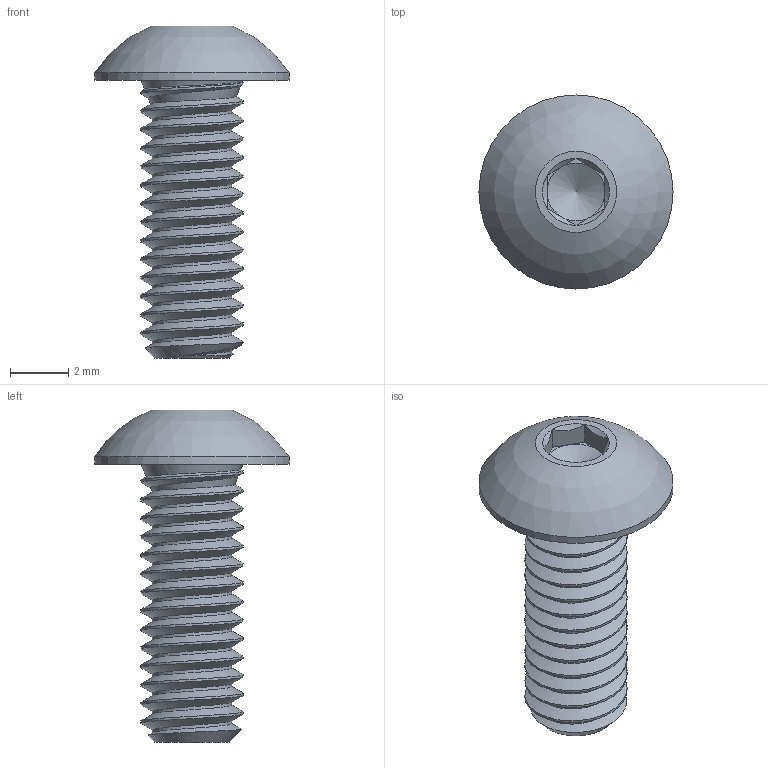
import cadquery as cq
import math

INCH = 25.4

head_diameter = 0.262 * INCH
head_height = 0.073 * INCH
rim_height = 0.25
crown_diameter = 2.78

hex_across_flats = 5 / 64 * INCH
hex_depth = 0.75
drill_point_angle = 120

shank_length = 0.375 * INCH
tip_diameter = 2.59
tip_chamfer_height = 0.52

major_diameter = 0.138 * INCH
pitch = INCH / 40
neck_length = 1.5 * pitch
sharp_v_height = pitch * math.sqrt(3) / 2
thread_depth = 17 / 24 * sharp_v_height
crest_width = pitch / 8
crest_above_tip = 0.523
flank_half_angle = math.radians(30)
thread_overrun = 2 * pitch

head_radius = head_diameter / 2
crown_radius = crown_diameter / 2
major_radius = major_diameter / 2
root_radius = major_radius - thread_depth
ridge_start_z = -shank_length + crest_above_tip - thread_overrun
hex_corner_radius = hex_across_flats / 2 / math.cos(math.pi / 6)


def make_head():
    """Spherical dome, centred on the axis, on a short cylindrical rim."""
    dome_height = head_height - rim_height
    center_drop = (head_radius**2 + dome_height**2 - crown_radius**2) / (2 * dome_height)
    center_z = head_height - center_drop
    sphere_radius = math.hypot(crown_radius, center_drop)
    mid_radius = (crown_radius + head_radius) / 2
    mid_z = center_z + math.sqrt(sphere_radius**2 - mid_radius**2)
    return (
        cq.Workplane("YZ")
        .lineTo(head_radius, 0)
        .lineTo(head_radius, rim_height)
        .threePointArc((mid_radius, mid_z), (crown_radius, head_height))
        .lineTo(0, head_height)
        .close()
        .revolve(360, (0, 0), (0, 1))
    )


def make_socket():
    """Hex pocket with corners on the Y axis, a drill point floor and a 45 degree lead-in."""
    floor_z = head_height - hex_depth
    hexagon = (
        cq.Workplane("XY", origin=(0, 0, floor_z))
        .polygon(6, 2 * hex_corner_radius)
        .extrude(hex_depth)
        .rotate((0, 0, 0), (0, 0, 1), 30)
    )
    drill_radius = hex_across_flats / 2
    drill_point_depth = drill_radius / math.tan(math.radians(drill_point_angle / 2))
    drill_tip = cq.Vector(0, 0, floor_z - drill_point_depth)
    drill_point = cq.Solid.makeCone(0, drill_radius, drill_point_depth, drill_tip)
    lead_in_depth = hex_corner_radius
    lead_in_tip = cq.Vector(0, 0, head_height - lead_in_depth)
    lead_in = cq.Solid.makeCone(0, hex_corner_radius, lead_in_depth, lead_in_tip)
    return hexagon.union(cq.Workplane(drill_point)).union(cq.Workplane(lead_in))


def make_thread_ridge():
    """Right-handed helical ridge, embedded in the core, running past both ends of the shank."""
    embedment = 0.05
    inner_radius = root_radius - embedment
    crest_half = crest_width / 2
    base_half = crest_half + (thread_depth + embedment) * math.tan(flank_half_angle)
    profile = [
        (inner_radius, -base_half),
        (major_radius, -crest_half),
        (major_radius, crest_half),
        (inner_radius, base_half),
    ]
    helix_height = shank_length + 2 * thread_overrun
    edges = [
        cq.Wire.makeHelix(pitch, helix_height, radius).translate(cq.Vector(0, 0, ridge_start_z + z))
        for radius, z in profile
    ]
    faces = [cq.Face.makeRuledSurface(edges[i - 1], edges[i]) for i in range(len(edges))]
    for end in (0, 1):
        corners = [edge.positionAt(end) for edge in edges]
        faces.append(cq.Face.makeFromWires(cq.Wire.makePolygon(corners, close=True)))
    return cq.Workplane(cq.Solid.makeSolid(cq.Shell.makeShell(faces)))


def make_shank_envelope():
    """Space between the head and the tip, narrowed by the tip chamfer."""
    tip_radius = tip_diameter / 2
    clearance = 0.1
    chamfer_slope = tip_chamfer_height / (major_radius - tip_radius)
    outer_radius = major_radius + clearance
    chamfer_top_z = -shank_length + (outer_radius - tip_radius) * chamfer_slope
    return (
        cq.Workplane("XZ")
        .lineTo(outer_radius, 0)
        .lineTo(outer_radius, chamfer_top_z)
        .lineTo(tip_radius, -shank_length)
        .lineTo(0, -shank_length)
        .close()
        .revolve(360, (0, 0), (0, 1))
    )


def make_shank():
    """Threaded shank with a chamfered tip and a conical neck that fills the thread run-out."""
    core_start_z = ridge_start_z - pitch
    core_length = shank_length + 2 * thread_overrun + 3 * pitch
    core = cq.Workplane("XY", origin=(0, 0, core_start_z)).circle(root_radius).extrude(core_length)
    threaded = core.union(make_thread_ridge()).intersect(make_shank_envelope())
    neck_base = cq.Vector(0, 0, -neck_length)
    neck = cq.Solid.makeCone(root_radius, major_radius, neck_length, neck_base)
    return threaded.union(cq.Workplane(neck))


result = make_shank().union(make_head()).cut(make_socket())